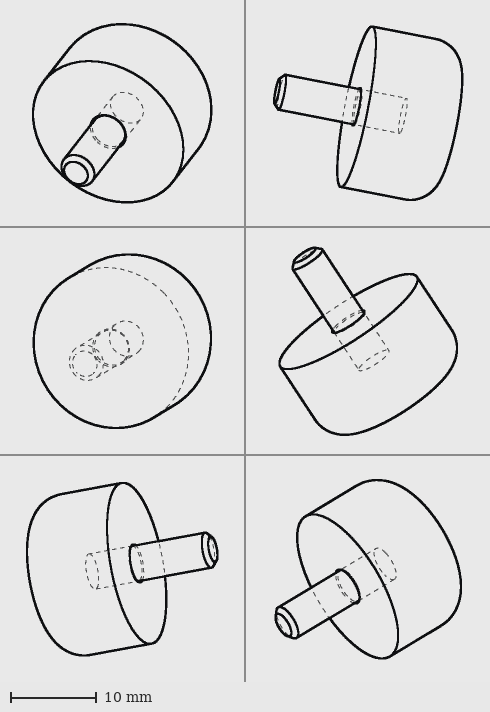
import cadquery as cq

total_length = 20.65
cap_diameter = 19.07
cap_height = 11.12
crown_radius = 3.5
stud_diameter = 4.17
tip_chamfer = 0.58
mouth_diameter = 4.5
stud_embedment = cap_height / 2

exposed_length = total_length - cap_height
stud_length = exposed_length + stud_embedment
mouth_chamfer = (mouth_diameter - stud_diameter) / 2


def cylinder_along_y(diameter, start_y, length):
    """Cylinder on the Y axis, growing toward +Y from start_y."""
    base = cq.Workplane("XZ", origin=(0, start_y, 0))
    return base.circle(diameter / 2).extrude(-length)


def make_cap():
    """Round cap with its flat face at Y = 0 and a rounded crown at +Y."""
    cap = cylinder_along_y(cap_diameter, 0, cap_height)
    cap = cap.faces(">Y").edges().fillet(crown_radius)

    cap = cap.cut(cylinder_along_y(stud_diameter, 0, stud_embedment))
    mouth_edge = cap.faces("<Y").edges(cq.selectors.RadiusNthSelector(0))
    return mouth_edge.chamfer(mouth_chamfer)


def make_stud():
    """Plain stud seated in the cap, with a chamfered tip at -Y."""
    stud = cylinder_along_y(stud_diameter, -exposed_length, stud_length)
    return stud.faces("<Y").edges().chamfer(tip_chamfer)


cap = make_cap()
stud = make_stud()
result = cq.Compound.makeCompound([cap.val(), stud.val()])